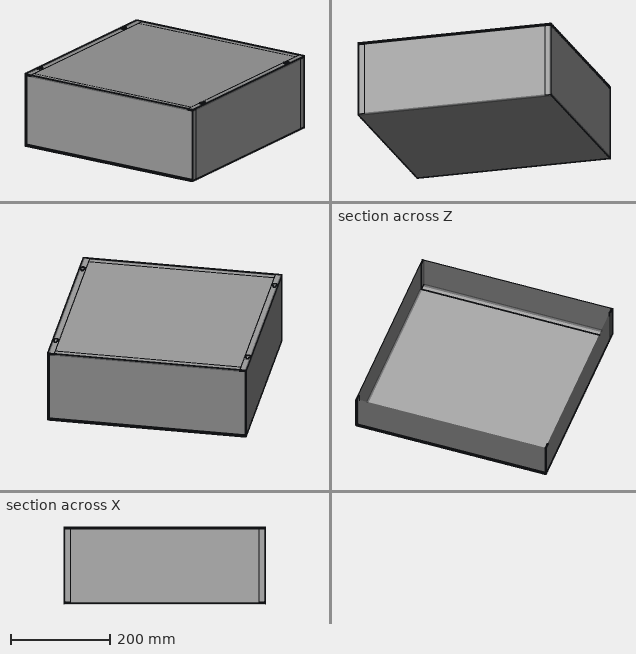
import cadquery as cq

WIDTH = 406.5
LENGTH = 406.5
HEIGHT = 154.0

COVER_THICKNESS = 1.55
SHEET = 1.7
BEND_RADIUS = 2.35
INSIDE_RADIUS = BEND_RADIUS - SHEET
FLANGE = 13.5
PANEL_GAP = INSIDE_RADIUS

SCREW_X = 196.3
SCREW_SPACING = 305.0
KEYHOLE_DROP = 7.0
ENTRY_RADIUS = 5.3
SEAT_RADIUS = 2.65
NECK_WIDTH = 3.3

BOTTOM_Z = -HEIGHT / 2
FLOOR_Z = BOTTOM_Z + SHEET
COVER_BOTTOM_Z = HEIGHT / 2 - COVER_THICKNESS
FLANGE_BOTTOM_Z = COVER_BOTTOM_Z - SHEET
FRONT_Y = -LENGTH / 2
INNER_WIDTH = WIDTH - 2 * SHEET
OPENING_WIDTH = WIDTH - 2 * FLANGE


def make_block(x_size, y_start, y_size, bottom_z, top_z):
    """Block centred on X that starts at y_start and reaches from bottom_z to top_z."""
    block = cq.Workplane("XY").box(x_size, y_size, top_z - bottom_z)
    return block.translate((0, y_start + y_size / 2, (bottom_z + top_z) / 2))


def make_keyhole(x, y):
    """Cutter for one keyhole: small screw seat at (x, y), neck, and entry hole on its -Y side."""
    plane = cq.Workplane("XY", origin=(x, y, COVER_BOTTOM_Z))
    seat = plane.circle(SEAT_RADIUS).extrude(COVER_THICKNESS)
    neck = plane.center(0, -KEYHOLE_DROP / 2).rect(NECK_WIDTH, KEYHOLE_DROP).extrude(COVER_THICKNESS)
    entry = plane.center(0, -KEYHOLE_DROP).circle(ENTRY_RADIUS).extrude(COVER_THICKNESS)
    return seat.union(neck).union(entry)


def make_cover():
    """Flat plate over the whole top, with four keyholes."""
    cover = make_block(WIDTH, FRONT_Y, LENGTH, COVER_BOTTOM_Z, HEIGHT / 2)
    for x in (-SCREW_X, SCREW_X):
        for y in (-SCREW_SPACING / 2, SCREW_SPACING / 2):
            cover = cover.cut(make_keyhole(x, y))
    return cover


def make_wrapper():
    """Folded sheet: the floor, both X walls, and a flange turned inward along the top of each wall."""
    outside = make_block(WIDTH, FRONT_Y, LENGTH, BOTTOM_Z, COVER_BOTTOM_Z).edges("|Y").fillet(BEND_RADIUS)
    inside = make_block(INNER_WIDTH, FRONT_Y, LENGTH, FLOOR_Z, FLANGE_BOTTOM_Z)
    inside = inside.edges("|Y").fillet(INSIDE_RADIUS)
    opening = make_block(OPENING_WIDTH, FRONT_Y, LENGTH, FLOOR_Z, COVER_BOTTOM_Z)
    return outside.cut(inside).cut(opening)


def make_end_panel():
    """Pan that closes the -Y end: a plate whose four edges are turned inward between the X walls."""
    rim_bottom_z = FLOOR_Z + PANEL_GAP
    pan = make_block(INNER_WIDTH, FRONT_Y, FLANGE, rim_bottom_z, COVER_BOTTOM_Z)
    pan = pan.faces("<Y").edges().fillet(BEND_RADIUS)
    hollow = make_block(
        INNER_WIDTH - 2 * SHEET, FRONT_Y + SHEET, FLANGE - SHEET, rim_bottom_z + SHEET, FLANGE_BOTTOM_Z
    )
    hollow = hollow.faces("<Y").edges().fillet(INSIDE_RADIUS)

    notch_bottom_z = FLANGE_BOTTOM_Z - PANEL_GAP
    tongue = make_block(OPENING_WIDTH, FRONT_Y, FLANGE, notch_bottom_z, COVER_BOTTOM_Z)
    notches = make_block(WIDTH, FRONT_Y, FLANGE, notch_bottom_z, COVER_BOTTOM_Z).cut(tongue)
    return pan.cut(hollow).cut(notches)


cover = make_cover()
wrapper = make_wrapper()
front_panel = make_end_panel()
rear_panel = front_panel.mirror("XZ")

bodies = [cover, wrapper, front_panel, rear_panel]
result = cq.Compound.makeCompound([body.solids().val() for body in bodies])